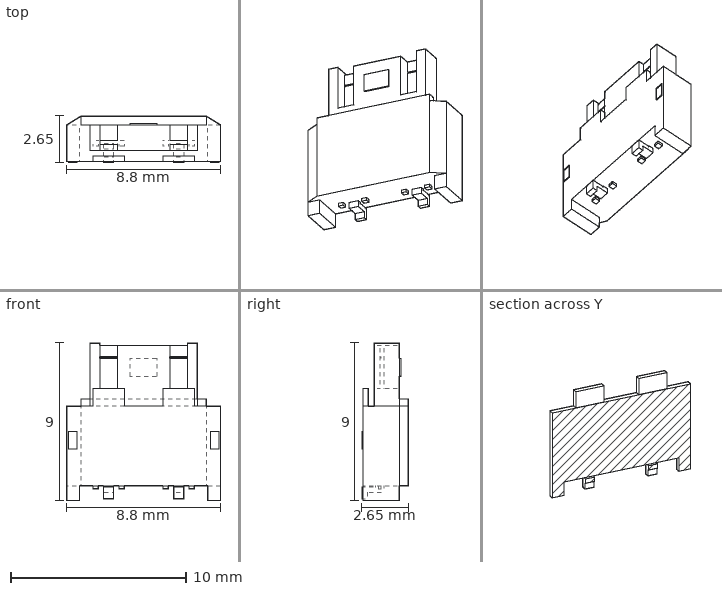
import cadquery as cq


housing_width = 8.8
housing_depth = 2.1
housing_top = 5.4
foot_width = 0.75
foot_height = 0.85

plate_width = 7.17
plate_depth = 0.5
plate_lip_height = 0.405

tab_spacing = 4.005
tab_width = 1.8
tab_depth = 0.315
tab_height = 1.02
nub_width = 0.315
nub_height = 0.17

tongue_width = 6.15
tongue_front = 0.65
tongue_top = 9.0
tower_width = 0.58
core_width = 3.01
core_top = 8.865

web_front = 0.99
web_thickness = 0.23
web_slit_bottom = 8.145
web_slit_height = 0.07

catch_width = 1.55
catch_depth = 0.1
catch_bottom = 7.09
catch_height = 1.035

pad_thickness = 0.045
side_pad_width = 0.49
side_pad_height = 0.99
side_pad_bottom = 2.95
side_pad_margin = 0.1

pin_width = 0.585
pin_thickness = 0.31
pin_reach = 1.08
pin_bottom = 0.1
pin_top = 0.78

tab_top = housing_top + tab_height
recess_width = (tongue_width - core_width) / 2 - tower_width
recess_center = (core_width + recess_width) / 2
side_pad_center = (housing_width - side_pad_width) / 2 - side_pad_margin
SIDES = (-1, 1)


def block(x_center, width, y_front, depth, z_bottom, height):
    """Upright box centred on x_center, growing to +Y and +Z."""
    box = cq.Workplane("XY").box(width, depth, height, centered=(True, False, False))
    return box.translate((x_center, y_front, z_bottom))


def make_housing():
    """Main block on two end feet, with the flared plate and its lip at the back."""
    body = block(0, housing_width, 0, housing_depth, 0, housing_top)
    foot_gap = block(0, housing_width - 2 * foot_width, 0, housing_depth, 0, foot_height)
    plate_back = housing_depth + plate_depth
    plate = (
        cq.Workplane("XY", origin=(0, 0, foot_height))
        .moveTo(-housing_width / 2, housing_depth)
        .lineTo(housing_width / 2, housing_depth)
        .lineTo(plate_width / 2, plate_back)
        .lineTo(-plate_width / 2, plate_back)
        .close()
        .extrude(housing_top - foot_height)
    )
    lip = block(0, plate_width, housing_depth, plate_depth, housing_top, plate_lip_height)
    return body.cut(foot_gap).union(plate).union(lip)


def make_tongue():
    """Core and two towers joined by slit webs, with the catch on the back."""
    tongue_depth = housing_depth - tongue_front
    tongue = block(0, tongue_width, tongue_front, tongue_depth, housing_top, tab_top - housing_top)
    tongue = tongue.union(block(0, core_width, tongue_front, tongue_depth, tab_top, core_top - tab_top))
    slit_top = web_slit_bottom + web_slit_height
    for side in SIDES:
        tower_center = side * (tongue_width - tower_width) / 2
        tower = block(tower_center, tower_width, tongue_front, tongue_depth, tab_top, tongue_top - tab_top)
        web_center = side * recess_center
        lower_web = block(
            web_center, recess_width, web_front, web_thickness, tab_top, web_slit_bottom - tab_top
        )
        upper_web = block(web_center, recess_width, web_front, web_thickness, slit_top, core_top - slit_top)
        tongue = tongue.union(tower).union(lower_web).union(upper_web)
    catch = block(0, catch_width, housing_depth, catch_depth, catch_bottom, catch_height)
    return tongue.union(catch)


def make_tab_and_nubs(x_center):
    """Front tab with a small nub under the housing in line with each of its edges."""
    tab_and_nubs = block(x_center, tab_width, 0, tab_depth, housing_top, tab_height)
    nub_front = (housing_depth - nub_width) / 2
    for side in SIDES:
        nub_center = x_center + side * (tab_width - nub_width) / 2
        nub = block(nub_center, nub_width, nub_front, nub_width, foot_height - nub_height, nub_height)
        tab_and_nubs.add(nub)
    return tab_and_nubs


def make_pin(x_center):
    """Bent terminal: vertical foot, arm running back from its top, post up into the housing."""
    pin_front = -pad_thickness
    arm_bottom = pin_top - pin_thickness
    post_front = pin_front + pin_reach - pin_thickness
    foot = block(x_center, pin_width, pin_front, pin_thickness, pin_bottom, pin_top - pin_bottom)
    arm = block(x_center, pin_width, pin_front, pin_reach, arm_bottom, pin_thickness)
    post = block(x_center, pin_width, post_front, pin_thickness, arm_bottom, foot_height - arm_bottom)
    return foot.union(arm).union(post)


def make_side_pad(x_center):
    """Thin rectangular pad on the housing front face."""
    return block(
        x_center, side_pad_width, -pad_thickness, pad_thickness, side_pad_bottom, side_pad_height
    )


result = make_housing().union(make_tongue())
for side in SIDES:
    result = result.union(make_tab_and_nubs(side * tab_spacing / 2))
    result = result.union(make_pin(side * tab_spacing / 2))
    result = result.union(make_side_pad(side * side_pad_center))